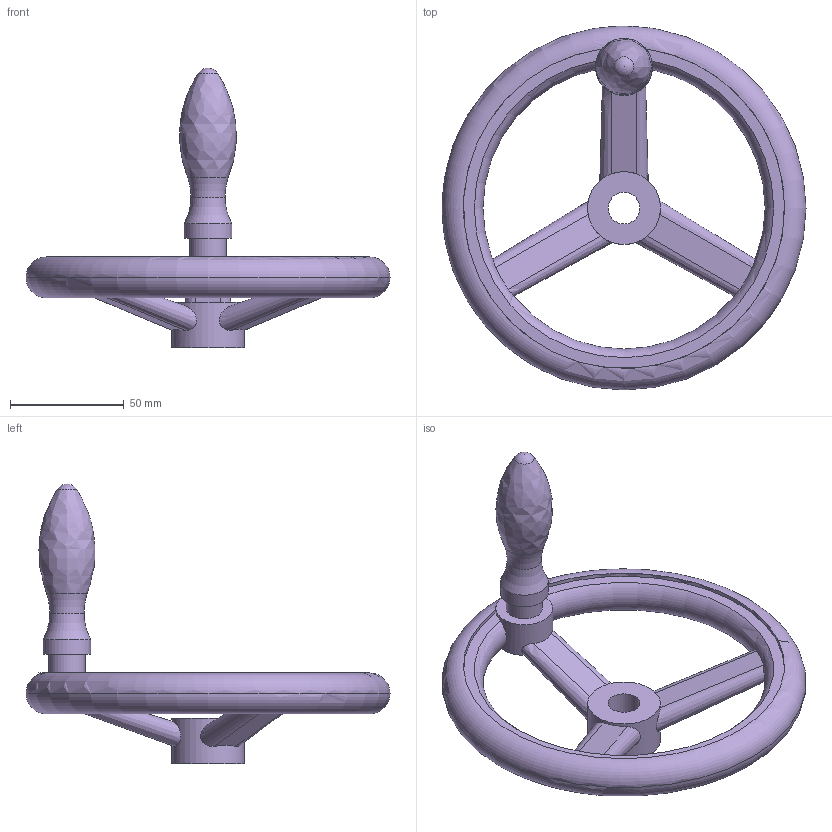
import cadquery as cq
import math


hub_radius = 16.0
hub_height = 20.0
bore_radius = 7.0

wheel_radius = 80.0
rim_radius = 9.0
rim_top_z = 40.0
ledge_outer_radius = 70.6
ledge_inner_radius = 65.8

spoke_count = 3
spoke_start_radius = 9.0
spoke_flat_width = 11.0
spoke_inner_thickness = 10.5
spoke_outer_thickness = 7.2
spoke_angle = 18.5
spoke_axis_z_at_hub = 13.5

handle_offset = 62.0
boss_radius = 12.5
boss_bottom_z = 23.5
stem_radius = 8.0
collar_radius = 10.5
collar_bottom_z = 48.2
collar_top_z = 54.5
neck_radius = 7.5
neck_z = 66.2
grip_start_radius = 8.9
grip_start_z = 75.0
grip_radius = 12.5
grip_widest_z = 93.0
tip_edge_radius = 4.3
tip_edge_z = 120.7
tip_z = 122.99

rim_center_radius = wheel_radius - rim_radius
rim_center_z = rim_top_z - rim_radius
ledge_inset = rim_center_radius - ledge_inner_radius
ledge_z = rim_center_z + math.sqrt(rim_radius**2 - ledge_inset**2)


def cylinder(radius, bottom_z, top_z):
    """Upright cylinder on the Z axis."""
    return cq.Workplane("XY").workplane(offset=bottom_z).circle(radius).extrude(top_z - bottom_z)


def make_rim():
    """Round ring with the ledge cut into its top."""
    ring = (
        cq.Workplane("XZ")
        .center(rim_center_radius, rim_center_z)
        .circle(rim_radius)
        .revolve(360, (-rim_center_radius, 0), (-rim_center_radius, 1))
    )
    ledge_cutter = cylinder(ledge_outer_radius, ledge_z, rim_top_z)
    return ring.cut(ledge_cutter)


def make_spoke():
    """One spoke in the +Y direction, from inside the hub to inside the rim."""
    slope = math.radians(spoke_angle)
    run_to_rim = (rim_center_radius - spoke_start_radius) / math.cos(slope)
    start_z = spoke_axis_z_at_hub - (hub_radius - spoke_start_radius) * math.tan(slope)
    hub_section = cq.Plane(
        origin=(0, spoke_start_radius, start_z),
        xDir=(1, 0, 0),
        normal=(0, math.cos(slope), math.sin(slope)),
    )
    return (
        cq.Workplane(hub_section)
        .slot2D(spoke_flat_width + spoke_inner_thickness, spoke_inner_thickness)
        .workplane(offset=run_to_rim)
        .slot2D(spoke_flat_width + spoke_outer_thickness, spoke_outer_thickness)
        .loft(ruled=True)
    )


def flare_point(end_radius, end_z):
    """Midpoint of the arc that leaves the neck parallel to the axis and ends at the given point."""
    rise = end_radius - neck_radius
    run = end_z - neck_z
    flare_radius = (rise**2 + run**2) / (2 * rise)
    half_angle = math.asin(run / flare_radius) / 2
    return (
        neck_radius + flare_radius * (1 - math.cos(half_angle)),
        neck_z + flare_radius * math.sin(half_angle),
    )


def make_handle():
    """Turned handle standing on the boss, built on the Z axis and moved out to the rim."""
    tip_height = tip_z - tip_edge_z
    tip_sphere_radius = (tip_edge_radius**2 + tip_height**2) / (2 * tip_height)
    tip_half_angle = math.asin(tip_edge_radius / tip_sphere_radius) / 2
    tip_mid = (
        tip_sphere_radius * math.sin(tip_half_angle),
        tip_z - tip_sphere_radius * (1 - math.cos(tip_half_angle)),
    )
    return (
        cq.Workplane("XZ")
        .moveTo(0, rim_center_z)
        .lineTo(stem_radius, rim_center_z)
        .lineTo(stem_radius, collar_bottom_z)
        .lineTo(collar_radius, collar_bottom_z)
        .lineTo(collar_radius, collar_top_z)
        .threePointArc(flare_point(collar_radius, collar_top_z), (neck_radius, neck_z))
        .threePointArc(flare_point(grip_start_radius, grip_start_z), (grip_start_radius, grip_start_z))
        .threePointArc((grip_radius, grip_widest_z), (tip_edge_radius, tip_edge_z))
        .threePointArc(tip_mid, (0, tip_z))
        .close()
        .revolve(360, (0, 0), (0, 1))
        .translate((0, handle_offset, 0))
    )


def make_boss():
    """Upright boss that joins the rim and a spoke under the handle."""
    return cylinder(boss_radius, boss_bottom_z, rim_top_z).translate((0, handle_offset, 0))


result = make_rim().union(cylinder(hub_radius, 0, hub_height))
for index in range(spoke_count):
    spoke = make_spoke().rotate((0, 0, 0), (0, 0, 1), index * 360 / spoke_count)
    result = result.union(spoke)
result = result.union(make_boss()).union(make_handle())
result = result.cut(cylinder(bore_radius, 0, hub_height))